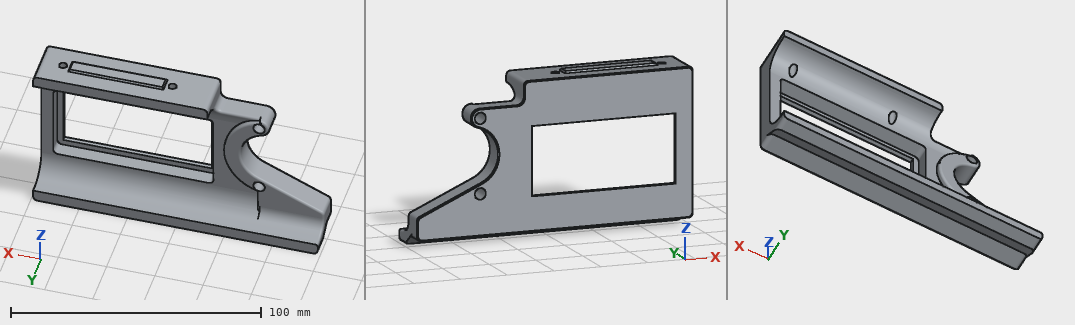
import cadquery as cq
import math

length = 118.0
depth = 20.0
body_height = 66.0
corner_radius = 2.0
front_chamfer = 0.5

arm_height = 13.7
notch_x = 22.7
notch_z = 36.9
notch_radius = 12.0
boss_radius = 4.0
screw_spacing = 30.9
screw_diameter = 4.7
step_x = 45.7
step_diameter = 6.0
step_radius = step_diameter / 2

plate_bottom = 4.0
plate_bottom_y = 8.6
foot_front_y = 14.2
foot_top = 7.0

plate_thickness = 8.0
wall_thickness = 5.1
cavity_radius = 10.0
edge_radius = 1.0

low_z = wall_thickness
high_z = body_height - wall_thickness
arc_y = plate_thickness + cavity_radius

pad_y = 10.5
pad_radius = 19.1
pad_arm_x = 27.7
pad_floor_radius = 5.0

window_x = 49.1
window_z = 18.5
window_width = 61.5
window_height = 28.8
window_rim = 2.0
recess_margin = 2.5
recess_radius = 2.0

ridge_x = 85.7
ridge_y = 10.0
ridge_length = 39.5
ridge_width = 6.0
ridge_height = 0.8
ridge_taper = 0.6
pin_spacing = 45.4
pin_diameter = 3.2
pin_depth = 14.2

boss_z = notch_z + screw_spacing / 2
boss_x = notch_x + math.sqrt((notch_radius + boss_radius) ** 2 - (boss_z - notch_z) ** 2)
ledge_z = boss_z + boss_radius


def box(x0, x1, y0, y1, z0, z1):
    """Block between two opposite corners."""
    return cq.Workplane("XY").box(x1 - x0, y1 - y0, z1 - z0, centered=False).translate((x0, y0, z0))


def cylinder_y(x, z, diameter, y0, y1):
    """Cylinder along Y."""
    return cq.Workplane("XZ", origin=(x, y0, z)).circle(diameter / 2).extrude(y0 - y1)


def outline_body(bottom):
    """Front outline extruded through the full depth from a bottom level, with rounded corners."""
    to_notch = math.hypot(notch_x, notch_z - arm_height)
    slope = math.atan2(notch_z - arm_height, notch_x) - math.asin(notch_radius / to_notch)
    slope_end = (notch_x + notch_radius * math.sin(slope), notch_z - notch_radius * math.cos(slope))
    share = notch_radius / (notch_radius + boss_radius)
    touch = (notch_x + share * (boss_x - notch_x), notch_z + share * (boss_z - notch_z))
    body = (
        cq.Workplane("XZ")
        .moveTo(0, bottom)
        .lineTo(0, arm_height)
        .lineTo(*slope_end)
        .threePointArc((notch_x + notch_radius, notch_z), touch)
        .threePointArc((boss_x - boss_radius, boss_z), (boss_x, ledge_z))
        .lineTo(step_x, ledge_z)
        .lineTo(step_x, body_height)
        .lineTo(length, body_height)
        .lineTo(length, bottom)
        .close()
        .extrude(-depth)
    )
    outer_corners = (
        (0, bottom),
        (0, arm_height),
        (step_x, body_height),
        (length, body_height),
        (length, bottom),
    )
    for x, z in outer_corners:
        body = body.edges(cq.NearestToPointSelector((x, depth / 2, z))).fillet(corner_radius)
    return body.edges(cq.NearestToPointSelector((step_x, depth / 2, ledge_z))).fillet(step_radius)


def body_with_foot():
    """Plate body joined to a foot that lies behind a sloped plane."""
    run = foot_front_y - plate_bottom_y
    slope_top_y = foot_front_y - run * foot_top / plate_bottom
    behind_slope = (
        cq.Workplane("YZ")
        .polyline([(foot_front_y, 0), (depth, 0), (depth, foot_top), (slope_top_y, foot_top)])
        .close()
        .extrude(length)
    )
    plate = outline_body(plate_bottom).faces("<Y").edges().chamfer(front_chamfer)
    foot = outline_body(0).intersect(behind_slope)
    return plate.union(foot)


def cavity():
    """Hollow open at the back and both ends, with round inner corners."""
    bend = cavity_radius * (1 - math.sqrt(0.5))
    return (
        cq.Workplane("YZ")
        .moveTo(depth, low_z)
        .lineTo(arc_y, low_z)
        .threePointArc((plate_thickness + bend, low_z + bend), (plate_thickness, low_z + cavity_radius))
        .lineTo(plate_thickness, high_z - cavity_radius)
        .threePointArc((plate_thickness + bend, high_z - bend), (arc_y, high_z))
        .lineTo(depth, high_z)
        .close()
        .extrude(length)
    )


def space_behind_pad():
    """Space behind the pad: the floor bend runs into the pad through a smaller concave arc."""
    bend_z = low_z + cavity_radius
    blend_y = pad_y + pad_floor_radius
    spread = cavity_radius - pad_floor_radius
    blend_z = bend_z - math.sqrt(spread ** 2 - (arc_y - blend_y) ** 2)
    floor_angle = math.atan2(blend_z - bend_z, blend_y - arc_y)

    def on_arc(y, z, radius, angle):
        """Point at an angle on a circle around (y, z)."""
        return (y + radius * math.cos(angle), z + radius * math.sin(angle))

    floor_mid = (floor_angle - math.pi / 2) / 2
    blend_mid = (floor_angle - math.pi) / 2
    return (
        cq.Workplane("YZ")
        .moveTo(depth, low_z)
        .lineTo(arc_y, low_z)
        .threePointArc(
            on_arc(arc_y, bend_z, cavity_radius, floor_mid),
            on_arc(arc_y, bend_z, cavity_radius, floor_angle),
        )
        .threePointArc(on_arc(blend_y, blend_z, pad_floor_radius, blend_mid), (pad_y, blend_z))
        .lineTo(pad_y, body_height)
        .lineTo(depth, body_height)
        .close()
        .extrude(length)
    )


def round_left_rim(body):
    """Round the hollow's rim from the foot's left end up to the step; the edges join smoothly."""
    foot_edge = cq.NearestToPointSelector((0, (arc_y + depth) / 2, low_z))
    return body.edges(foot_edge).fillet(edge_radius)


def pad_region():
    """Space that the pad fills: behind the arm and the boss, and a disc around the notch."""
    arm = box(0, pad_arm_x, 0, pad_y, 0, notch_z)
    boss = box(0, boss_x, 0, pad_y, notch_z, body_height)
    disc = cylinder_y(notch_x, notch_z, 2 * pad_radius, 0, pad_y)
    rim = "not(<X or >Z or <Z)"
    region = arm.union(boss).union(disc).faces(">Y").edges(rim).fillet(edge_radius)
    floor_blend = box(0, pad_arm_x - edge_radius, 0, depth, 0, low_z + cavity_radius)
    return region.union(floor_blend)


def window():
    """Sharp opening through the front rim, then a larger round-cornered recess behind it."""
    opening = box(window_x, window_x + window_width, 0, depth, window_z, window_z + window_height)
    recess = box(
        window_x - recess_margin,
        window_x + window_width + recess_margin,
        window_rim,
        depth,
        window_z - recess_margin,
        window_z + window_height + recess_margin,
    )
    return opening.union(recess.edges("|Y").fillet(recess_radius))


def top_ridge():
    """Low ridge with tapered sides."""
    return (
        cq.Workplane("XY", origin=(ridge_x, ridge_y, body_height))
        .rect(ridge_length, ridge_width)
        .workplane(offset=ridge_height)
        .rect(ridge_length - 2 * ridge_taper, ridge_width - 2 * ridge_taper)
        .loft()
    )


def pin_holes():
    """Holes beside the ridge, through the top wall into the hollow."""
    return (
        cq.Workplane("XY", origin=(ridge_x, ridge_y, body_height))
        .pushPoints([(-pin_spacing / 2, 0), (pin_spacing / 2, 0)])
        .circle(pin_diameter / 2)
        .extrude(-pin_depth)
    )


body = body_with_foot()
shell = round_left_rim(body.cut(cavity()))
padded_body = round_left_rim(body.cut(space_behind_pad()))
result = shell.union(padded_body.intersect(pad_region()))
result = result.cut(window())
for screw_z in (boss_z, boss_z - screw_spacing):
    result = result.cut(cylinder_y(boss_x, screw_z, screw_diameter, 0, depth))
result = result.union(top_ridge()).cut(pin_holes())